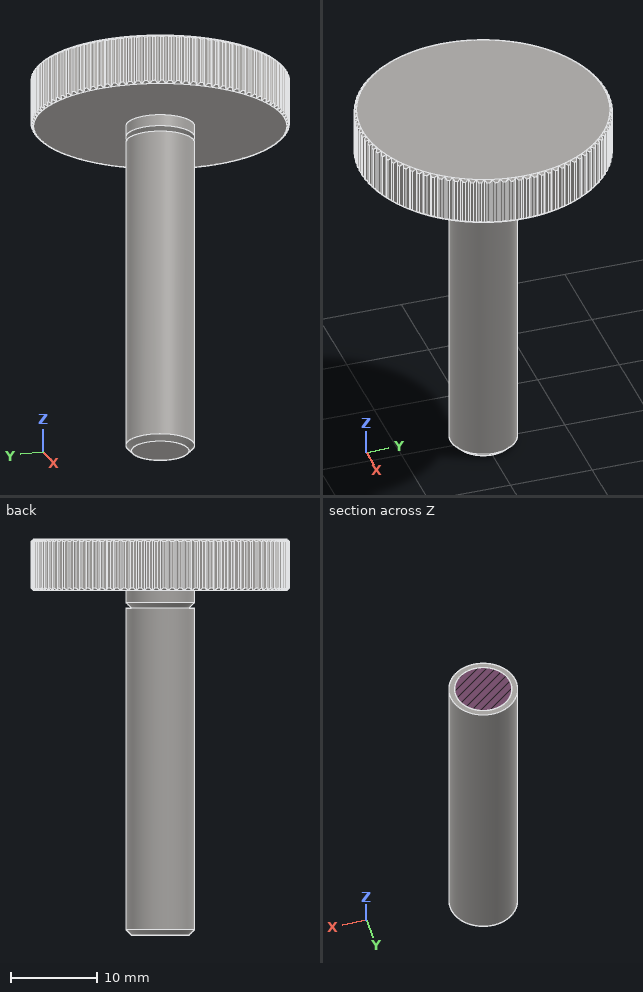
import cadquery as cq
import math

total_height = 46.0
head_diameter = 30.0
head_height = 6.0
head_chamfer = 0.3
shaft_diameter = 8.0
tip_diameter = 6.65
collar_height = 2.02

groove_count = 100
groove_depth = head_chamfer
groove_width = 2 * groove_depth

head_radius = head_diameter / 2
shaft_radius = shaft_diameter / 2
shaft_chamfer = (shaft_diameter - tip_diameter) / 2
head_bottom = total_height - head_height
shoulder = head_bottom - collar_height
groove_pitch = 360 / groove_count


def make_head():
    """Knurled disc: a V-grooved outline, bevelled by a chamfered blank."""
    root_radius = head_radius - groove_depth
    half_mouth = math.degrees(math.asin(groove_width / 2 / head_radius))

    def rim_point(radius, angle):
        turn = math.radians(angle)
        return radius * math.cos(turn), radius * math.sin(turn)

    outline = cq.Workplane("XY").workplane(offset=head_bottom).moveTo(*rim_point(root_radius, 0))
    for tooth in range(groove_count):
        start = tooth * groove_pitch
        end = start + groove_pitch
        outline = outline.lineTo(*rim_point(head_radius, start + half_mouth))
        outline = outline.threePointArc(
            rim_point(head_radius, (start + end) / 2),
            rim_point(head_radius, end - half_mouth),
        )
        if tooth < groove_count - 1:
            outline = outline.lineTo(*rim_point(root_radius, end))
    knurled_disc = outline.close().extrude(head_height)

    blank = (
        cq.Workplane("XY")
        .workplane(offset=head_bottom)
        .circle(head_radius)
        .extrude(head_height)
        .edges()
        .chamfer(head_chamfer)
    )
    return knurled_disc.intersect(blank)


def make_chamfered_rod(bottom, top):
    """Round bar of the shaft diameter with its lower end chamfered."""
    return (
        cq.Workplane("XY")
        .workplane(offset=bottom)
        .circle(shaft_radius)
        .extrude(top - bottom)
        .faces("<Z")
        .chamfer(shaft_chamfer)
    )


head = make_head()
collar = make_chamfered_rod(shoulder, head_bottom)
shaft = make_chamfered_rod(0, shoulder)

result = head.union(collar).union(shaft)